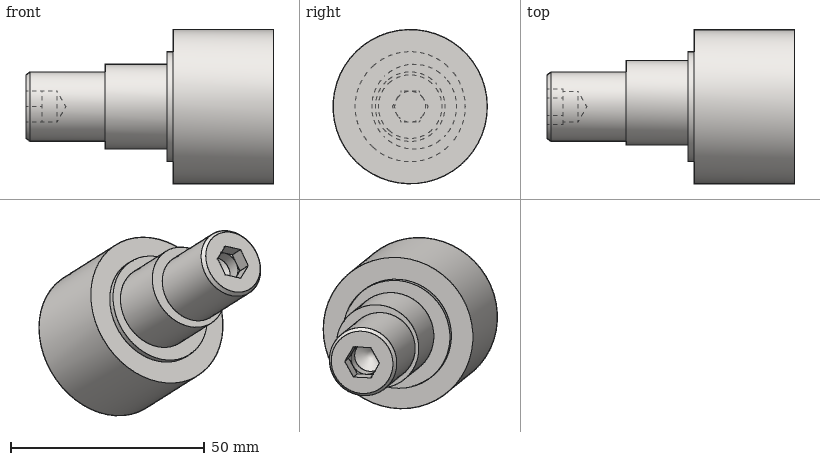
import cadquery as cq
import math

total_length = 64.1
stud_length = 20.5
bush_length = 15.95
flange_length = 1.6
roller_length = total_length - stud_length - bush_length - flange_length

stud_diameter = 18.0
bush_diameter = 22.0
flange_diameter = 28.5
roller_diameter = 40.0

bush_offset_y = 1.0
chamfer_length = 1.0
chamfer_depth = 0.8

hex_across_flats = 8.0
hex_corner_diameter = hex_across_flats / math.cos(math.pi / 6)
socket_depth = 4.15
bore_depth = 8.0
drill_point_angle = 120.0


def cylinder_along_x(start, length, diameter, center_y=0.0):
    return (
        cq.Workplane("YZ", origin=(start, center_y, 0))
        .circle(diameter / 2)
        .extrude(length)
    )


def chamfered_stud():
    radius = stud_diameter / 2
    return (
        cq.Workplane("XY")
        .moveTo(0, 0)
        .lineTo(0, radius - chamfer_depth)
        .lineTo(chamfer_length, radius)
        .lineTo(stud_length, radius)
        .lineTo(stud_length, 0)
        .close()
        .revolve(360, (0, 0, 0), (1, 0, 0))
    )


def key_socket():
    hexagon = cq.Workplane("YZ").polygon(6, hex_corner_diameter).extrude(socket_depth)
    bore = cylinder_along_x(0, bore_depth, hex_across_flats)
    cone_radius = hex_across_flats / 2
    cone_length = cone_radius / math.tan(math.radians(drill_point_angle / 2))
    drill_point = (
        cq.Workplane("XY", origin=(bore_depth, 0, 0))
        .lineTo(0, cone_radius)
        .lineTo(cone_length, 0)
        .close()
        .revolve(360, (0, 0, 0), (1, 0, 0))
    )
    return hexagon.union(bore).union(drill_point)


bush_start = stud_length
flange_start = bush_start + bush_length
roller_start = flange_start + flange_length

bush = cylinder_along_x(bush_start, bush_length, bush_diameter, bush_offset_y)
flange = cylinder_along_x(flange_start, flange_length, flange_diameter)
roller = cylinder_along_x(roller_start, roller_length, roller_diameter)

result = chamfered_stud().union(bush).union(flange).union(roller).cut(key_socket())